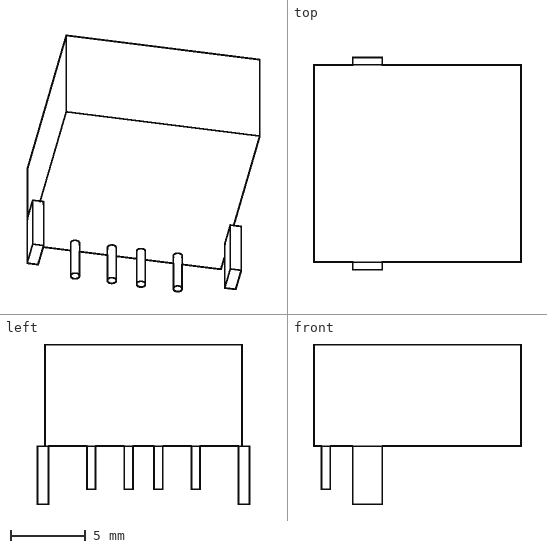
import cadquery as cq

body_length = 13.9
body_width = 13.22
body_height = 6.8

span_over_tabs = 14.25
tab_thickness = 0.75
tab_width = 2.0
tab_drop = 3.9
tab_inset = 2.6

pin_diameter = 0.6
pin_length = 2.9
pin_inset = 0.8
inner_pin_offset = 1.0
outer_pin_offset = 3.5

body_left = -body_length / 2
tab_center_x = body_left + tab_inset + tab_width / 2
tab_center_y = (span_over_tabs - tab_thickness) / 2
pin_x = body_left + pin_inset


def make_body():
    return cq.Workplane("XY").rect(body_length, body_width).extrude(body_height)


def make_tabs():
    centers = [(tab_center_x, side * tab_center_y) for side in (-1, 1)]
    return cq.Workplane("XY").pushPoints(centers).rect(tab_width, tab_thickness).extrude(-tab_drop)


def make_pins():
    centers = [
        (pin_x, side * offset)
        for side in (-1, 1)
        for offset in (inner_pin_offset, outer_pin_offset)
    ]
    return cq.Workplane("XY").pushPoints(centers).circle(pin_diameter / 2).extrude(-pin_length)


result = make_body().union(make_tabs()).union(make_pins())